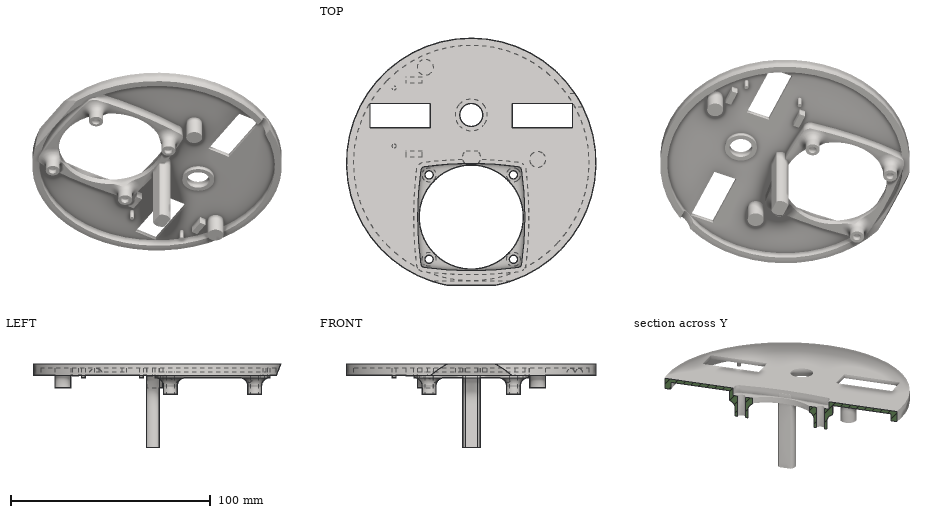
import cadquery as cq
import math

plate_diameter = 125.0
rim_inner_diameter = 118.0
rim_depth = 5.8
skin = 2.0
root_depth = skin / 2

notch_diameter = 7.0
notch_y = 31.4
notch_inner_x = 45.0

flat_top_y = -61.4
flat_bottom_y = -59.1

window_length = 30.0
window_width = 12.0
window_x = 35.6
window_y = 23.6
round_hole_diameter = 11.4
round_hole_y = 24.0
boss_diameter = 16.0
boss_depth = 4.0

fan_y = -27.1
fan_opening_diameter = 52.0
pocket_depth = 4.0
fan_floor = 3.0
cup_depth = pocket_depth + fan_floor
pocket_half_corner = 25.0
pocket_half_middle = 26.9
pocket_corner_radius = 2.0
cup_wall = 2.0

screw_offset = 21.1
screw_hole_diameter = 4.0
screw_post_diameter = 7.0
screw_post_depth = 15.2
flare_radius = 4.0

long_post_diameter = 9.0
long_post_x = 0.1
long_post_thickness = 6.5
long_post_y = 2.8
long_post_depth = 42.0

round_post_diameter = 8.0
round_post_depth = 12.0
round_post_centers = [(33.2, 1.8), (-23.0, 47.9)]

mount_y = 23.0
pin_diameter = 2.0
pin_depth = 7.0
pin_x = -38.6
pin_offset = 14.5
rib_length = 8.0
rib_width = 3.0
rib_depth = 6.0
rib_left_x = -32.8
rib_offset = 18.5


def column(diameter, x, y, top, bottom):
    """Vertical cylinder between two depths below the top face."""
    return cq.Workplane("XY", origin=(x, y, -bottom)).circle(diameter / 2).extrude(bottom - top)


def bowed_square(half_corner, half_middle, corner_radius, top, bottom):
    """Square prism at the fan with outward-bowed sides and rounded corners."""
    c = half_corner
    m = half_middle
    return (
        cq.Workplane("XY", origin=(0, fan_y, -bottom))
        .moveTo(-c, -c)
        .threePointArc((0, -m), (c, -c))
        .threePointArc((m, 0), (c, c))
        .threePointArc((0, m), (-c, c))
        .threePointArc((-m, 0), (-c, -c))
        .close()
        .extrude(bottom - top)
        .edges("|Z")
        .fillet(corner_radius)
    )


def screw_post(x, y):
    """Screw post that flares into the underside of the cup."""
    radius = screw_post_diameter / 2
    flare_end = -cup_depth - flare_radius
    flare_mid = flare_radius * (1 - math.sqrt(0.5))
    profile = (
        cq.Workplane("XZ")
        .moveTo(0, -pocket_depth)
        .lineTo(radius + flare_radius, -pocket_depth)
        .lineTo(radius + flare_radius, -cup_depth)
        .threePointArc((radius + flare_mid, -cup_depth - flare_mid), (radius, flare_end))
        .lineTo(radius, -screw_post_depth)
        .lineTo(0, -screw_post_depth)
        .close()
    )
    return profile.revolve(360, (0, 0, 0), (0, 1, 0)).translate((x, y, 0))


result = column(plate_diameter, 0, 0, 0, rim_depth)
result = result.cut(column(rim_inner_diameter, 0, 0, skin, rim_depth))

notch = (
    cq.Workplane("YZ", origin=(notch_inner_x, notch_y, -rim_depth))
    .circle(notch_diameter / 2)
    .extrude(plate_diameter / 2 - notch_inner_x)
)
result = result.cut(notch)

cup_corner = pocket_half_corner + cup_wall
cup_middle = pocket_half_middle + cup_wall
cup_radius = pocket_corner_radius + cup_wall
screw_centers = [
    (sx * screw_offset, fan_y + sy * screw_offset) for sx in (-1, 1) for sy in (-1, 1)
]
cup_envelope = bowed_square(cup_corner, cup_middle, cup_radius, 0, screw_post_depth)
result = result.union(bowed_square(cup_corner, cup_middle, cup_radius, root_depth, cup_depth))
for x, y in screw_centers:
    result = result.union(screw_post(x, y).intersect(cup_envelope))

result = result.union(column(boss_diameter, 0, round_hole_y, root_depth, boss_depth))

for x, y in round_post_centers:
    result = result.union(column(round_post_diameter, x, y, root_depth, round_post_depth))

for side in (-1, 1):
    pin_y = mount_y + side * pin_offset
    rib_y = mount_y + side * rib_offset
    rib = (
        cq.Workplane("XY", origin=(rib_left_x + rib_length / 2, rib_y, -rib_depth))
        .rect(rib_length, rib_width)
        .extrude(rib_depth - root_depth)
    )
    result = result.union(column(pin_diameter, pin_x, pin_y, root_depth, pin_depth)).union(rib)

for side in (-1, 1):
    result = result.cut(
        cq.Workplane("XY", origin=(side * window_x, window_y, -rim_depth))
        .rect(window_length, window_width)
        .extrude(rim_depth)
    )
result = result.cut(column(round_hole_diameter, 0, round_hole_y, 0, boss_depth))

result = result.cut(
    bowed_square(pocket_half_corner, pocket_half_middle, pocket_corner_radius, 0, pocket_depth)
)
result = result.cut(column(fan_opening_diameter, 0, fan_y, 0, screw_post_depth))
for x, y in screw_centers:
    result = result.cut(column(screw_hole_diameter, x, y, 0, screw_post_depth))

long_post = column(long_post_diameter, long_post_x, long_post_y, skin, long_post_depth).intersect(
    cq.Workplane("XY", origin=(long_post_x, long_post_y, -long_post_depth))
    .rect(long_post_diameter, long_post_thickness)
    .extrude(long_post_depth)
)
result = result.union(long_post)

edge_waste = (
    cq.Workplane("YZ", origin=(-plate_diameter / 2, 0, 0))
    .moveTo(flat_top_y, 0)
    .lineTo(flat_bottom_y, -rim_depth)
    .lineTo(-plate_diameter, -rim_depth)
    .lineTo(-plate_diameter, 0)
    .close()
    .extrude(plate_diameter)
)
result = result.cut(edge_waste)